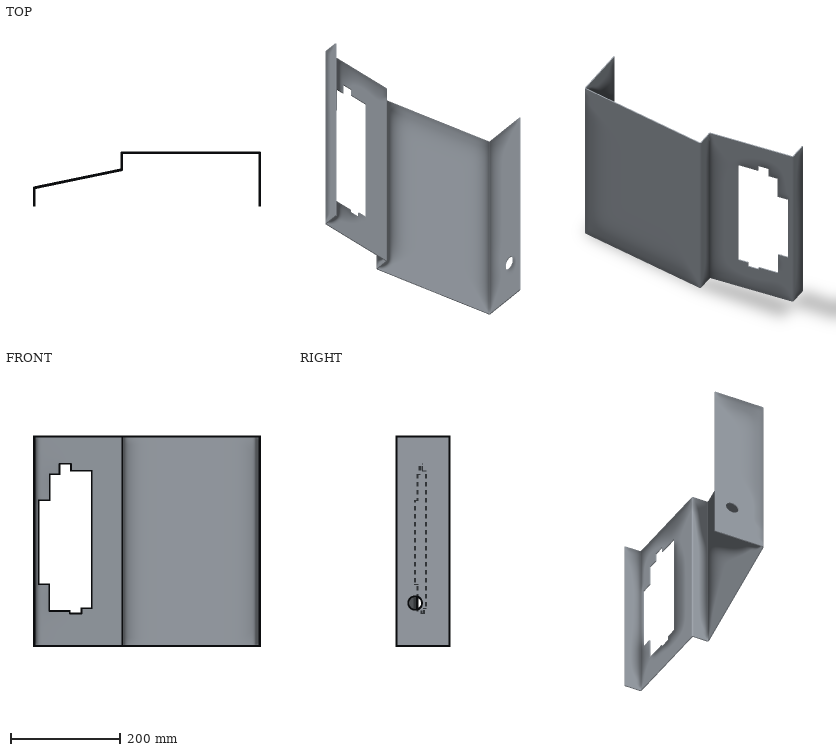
import cadquery as cq
import math

width = 415.2
depth = 98.0
height = 384.0
sheet = 2.0
bend_radius = 1.0

jog_x = 162.5
left_flange_depth = 33.2
jog_y = 66.5

hole_diameter = 25.0
hole_y = 34.5
hole_z = 79.0

window_left = 9.5
window_right = 106.5
upper_step_x = 30.0
lower_step_x = 28.5
upper_notch_left = 47.5
lower_notch_left = 66.5
notch_width = 20.8
wide_bottom = 113.8
wide_top = 267.0
upper_left_z = 314.8
upper_notch_z = 334.0
upper_right_z = 321.0
lower_left_z = 64.8
lower_notch_z = 60.0
lower_right_z = 69.8


def round_folds(body, corners, radius):
    """Round the full-height edges that stand at the given XY corners."""
    for x, y in corners:
        edge = cq.selectors.NearestToPointSelector((x, y, height / 2))
        body = body.edges("|Z").edges(edge).fillet(radius)
    return body


def folded_sheet():
    """Constant-thickness sheet with rounded folds, extruded along Z."""
    jog_left = jog_x - sheet
    slope = (jog_y - left_flange_depth) / jog_left
    slope_thickness = sheet * math.hypot(1, slope)

    def slope_front(x):
        return left_flange_depth + slope * x - slope_thickness

    profile = [
        (0, 0),
        (0, left_flange_depth),
        (jog_left, jog_y),
        (jog_left, depth),
        (width, depth),
        (width, 0),
        (width - sheet, 0),
        (width - sheet, depth - sheet),
        (jog_x, depth - sheet),
        (jog_x, slope_front(jog_x)),
        (sheet, slope_front(sheet)),
        (sheet, 0),
    ]
    outer_folds = [
        (0, left_flange_depth),
        (jog_left, depth),
        (width, depth),
        (jog_x, slope_front(jog_x)),
    ]
    inner_folds = [
        (sheet, slope_front(sheet)),
        (jog_left, jog_y),
        (jog_x, depth - sheet),
        (width - sheet, depth - sheet),
    ]
    body = cq.Workplane("XY").polyline(profile).close().extrude(height)
    body = round_folds(body, inner_folds, bend_radius)
    return round_folds(body, outer_folds, bend_radius + sheet)


def window_cutter():
    """Stepped opening, cut straight along Y through the sloped panel."""
    outline = [
        (window_left, wide_bottom),
        (window_left, wide_top),
        (upper_step_x, wide_top),
        (upper_step_x, upper_left_z),
        (upper_notch_left, upper_left_z),
        (upper_notch_left, upper_notch_z),
        (upper_notch_left + notch_width, upper_notch_z),
        (upper_notch_left + notch_width, upper_right_z),
        (window_right, upper_right_z),
        (window_right, lower_right_z),
        (lower_notch_left + notch_width, lower_right_z),
        (lower_notch_left + notch_width, lower_notch_z),
        (lower_notch_left, lower_notch_z),
        (lower_notch_left, lower_left_z),
        (lower_step_x, lower_left_z),
        (lower_step_x, wide_bottom),
    ]
    return cq.Workplane("XZ").polyline(outline).close().extrude(-depth)


def flange_hole_cutter():
    """Round hole along X through the right flange only."""
    return (
        cq.Workplane("YZ", origin=(width - 2 * sheet, 0, 0))
        .center(hole_y, hole_z)
        .circle(hole_diameter / 2)
        .extrude(3 * sheet)
    )


result = folded_sheet().cut(window_cutter()).cut(flange_hole_cutter())